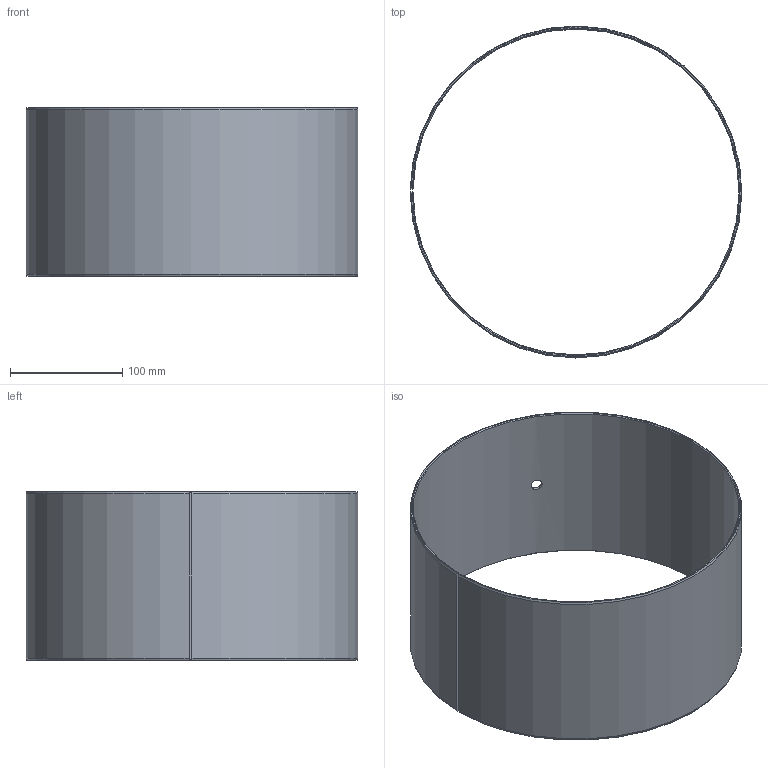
import cadquery as cq
import math

OUTER_DIAMETER = 295.0
WALL_THICKNESS = 2.5
HEIGHT = 150.0
GAP_ANGLE = 1.0

OUTER_BEVEL_HEIGHT = 1.8
OUTER_BEVEL_ANGLE = 20.0
INNER_BEVEL = 0.8

HOLE_DIAMETER = 10.0
HOLE_ANGLE_FROM_GAP = 120.0

OUTER_RADIUS = OUTER_DIAMETER / 2
INNER_RADIUS = OUTER_RADIUS - WALL_THICKNESS
OUTER_BEVEL_WIDTH = OUTER_BEVEL_HEIGHT * math.tan(math.radians(OUTER_BEVEL_ANGLE))

START_DIRECTION = 180.0
END_DIRECTION = START_DIRECTION - GAP_ANGLE
HOLE_DIRECTION = END_DIRECTION - HOLE_ANGLE_FROM_GAP
HOLE_HEIGHT = HEIGHT / 2
CUTTER_MARGIN = 5.0


def make_ring():
    """Split ring: the wall section, bevelled at both rims, swept about Z."""
    outer_tip = OUTER_RADIUS - OUTER_BEVEL_WIDTH
    inner_tip = INNER_RADIUS + INNER_BEVEL
    wall_section = (
        cq.Workplane("XZ")
        .moveTo(OUTER_RADIUS, OUTER_BEVEL_HEIGHT)
        .lineTo(OUTER_RADIUS, HEIGHT - OUTER_BEVEL_HEIGHT)
        .lineTo(outer_tip, HEIGHT)
        .lineTo(inner_tip, HEIGHT)
        .lineTo(INNER_RADIUS, HEIGHT - INNER_BEVEL)
        .lineTo(INNER_RADIUS, INNER_BEVEL)
        .lineTo(inner_tip, 0)
        .lineTo(outer_tip, 0)
        .close()
    )
    ring = wall_section.revolve(360 - GAP_ANGLE, (0, 0, 0), (0, 1, 0))
    return ring.rotate((0, 0, 0), (0, 0, 1), START_DIRECTION)


def make_hole_cutter():
    """Radial cylinder through the wall at mid-height."""
    angle = math.radians(HOLE_DIRECTION)
    outward = cq.Vector(math.cos(angle), math.sin(angle), 0)
    start = outward * (INNER_RADIUS - CUTTER_MARGIN) + cq.Vector(0, 0, HOLE_HEIGHT)
    length = WALL_THICKNESS + 2 * CUTTER_MARGIN
    return cq.Solid.makeCylinder(HOLE_DIAMETER / 2, length, start, outward)


result = make_ring().cut(make_hole_cutter())